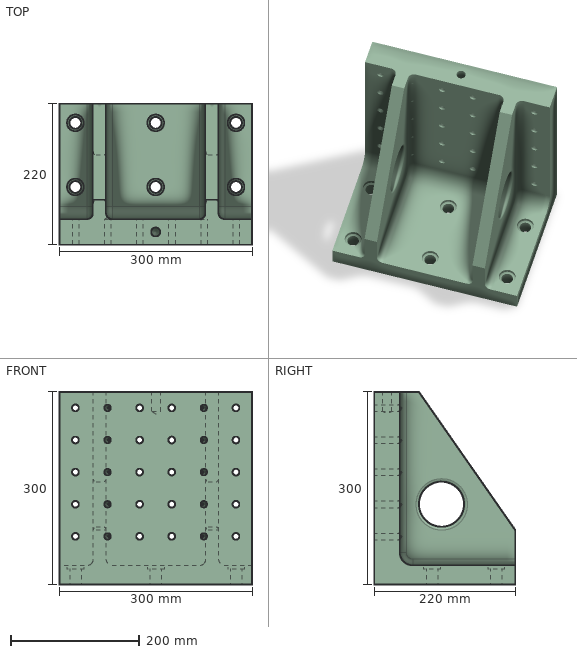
import cadquery as cq
import math

WIDTH = 300
DEPTH = 220.0
HEIGHT = 300
PLATE_THICKNESS = 40.0
BASE_THICKNESS = 30

RIB_THICKNESS = 20.0
RIB_OFFSET = 87.5
RIB_TOP_DEPTH = 70.0
RIB_BACK_HEIGHT = 85.0
CORNER_RADIUS = 20.0
RIB_FILLET = 10.0

WINDOW_DIAMETER = 70.0
WINDOW_Y = 105
WINDOW_Z = 125.0
WINDOW_ROUNDING = 5.0

GRID_DIAMETER = 10.2
GRID_COLUMNS = 6
GRID_ROWS = 5
GRID_PITCH = WIDTH / GRID_COLUMNS
GRID_TOP_MARGIN = GRID_PITCH / 2
DRILL_POINT_ANGLE = 120

MOUNT_DIAMETER = 18
COUNTERBORE_DIAMETER = 26.0
COUNTERBORE_DEPTH = 5.0
MOUNT_SPACING_X = 125.0
MOUNT_ROWS_Y = (90, 190.0)

LIFT_DIAMETER = 14.0
LIFT_DEPTH = 30


def drill(diameter, depth, start, direction):
    """Blind drilled hole with a conical bottom below its full-diameter depth."""
    radius = diameter / 2
    point_depth = radius / math.tan(math.radians(DRILL_POINT_ANGLE / 2))
    shank = cq.Solid.makeCylinder(radius, depth, start, direction)
    point = cq.Solid.makeCone(radius, 0, point_depth, start + direction * depth, direction)
    return shank.fuse(point)


def pocket(x_min, x_max, rib_edges):
    """Space above the foot and behind the plate, rounded beside each rib."""
    cutter = (
        cq.Workplane("XY")
        .box(x_max - x_min, DEPTH, HEIGHT, centered=False)
        .translate((x_min, PLATE_THICKNESS, BASE_THICKNESS))
        .edges("|X and <Y and <Z")
        .fillet(CORNER_RADIUS)
    )
    for side in rib_edges:
        floor_y = PLATE_THICKNESS + DEPTH / 2
        rib_x = x_min if side == "<X" else x_max
        floor_edge = cq.selectors.NearestToPointSelector((rib_x, floor_y, BASE_THICKNESS))
        cutter = cutter.faces(side).edges(floor_edge).fillet(RIB_FILLET)
    return cutter


def make_body():
    profile = [
        (0, 0),
        (DEPTH, 0),
        (DEPTH, RIB_BACK_HEIGHT),
        (RIB_TOP_DEPTH, HEIGHT),
        (0, HEIGHT),
    ]
    body = cq.Workplane("YZ").polyline(profile).close().extrude(WIDTH / 2, both=True)
    rib_inner = RIB_OFFSET - RIB_THICKNESS / 2
    rib_outer = RIB_OFFSET + RIB_THICKNESS / 2
    body = body.cut(pocket(-WIDTH / 2, -rib_outer, [">X"]))
    body = body.cut(pocket(-rib_inner, rib_inner, ["<X", ">X"]))
    return body.cut(pocket(rib_outer, WIDTH / 2, ["<X"]))


def cut_windows(body):
    window = (
        cq.Workplane("YZ")
        .center(WINDOW_Y, WINDOW_Z)
        .circle(WINDOW_DIAMETER / 2)
        .extrude(WIDTH / 2, both=True)
    )
    body = body.cut(window)
    rim_reach = WINDOW_DIAMETER / 2 + WINDOW_ROUNDING
    rims = cq.selectors.BoxSelector(
        (-WIDTH / 2, WINDOW_Y - rim_reach, WINDOW_Z - rim_reach),
        (WIDTH / 2, WINDOW_Y + rim_reach, WINDOW_Z + rim_reach),
        boundingbox=True,
    )
    return body.edges("%CIRCLE").edges(rims).fillet(WINDOW_ROUNDING)


def cut_grid_holes(body):
    for column in range(GRID_COLUMNS):
        x = (column - (GRID_COLUMNS - 1) / 2) * GRID_PITCH
        for row in range(GRID_ROWS):
            z = HEIGHT - GRID_TOP_MARGIN - row * GRID_PITCH
            start = cq.Vector(x, 0, z)
            body = body.cut(drill(GRID_DIAMETER, PLATE_THICKNESS, start, cq.Vector(0, 1, 0)))
    return body


def cut_mounting_holes(body):
    places = [(column * MOUNT_SPACING_X, y) for column in (-1, 0, 1) for y in MOUNT_ROWS_Y]
    holes = cq.Workplane("XY").pushPoints(places).circle(MOUNT_DIAMETER / 2).extrude(BASE_THICKNESS)
    counterbores = (
        cq.Workplane("XY")
        .workplane(offset=BASE_THICKNESS - COUNTERBORE_DEPTH)
        .pushPoints(places)
        .circle(COUNTERBORE_DIAMETER / 2)
        .extrude(COUNTERBORE_DEPTH)
    )
    return body.cut(holes).cut(counterbores)


def cut_lifting_hole(body):
    start = cq.Vector(0, PLATE_THICKNESS / 2, HEIGHT)
    return body.cut(drill(LIFT_DIAMETER, LIFT_DEPTH, start, cq.Vector(0, 0, -1)))


bracket = make_body()
bracket = cut_windows(bracket)
bracket = cut_grid_holes(bracket)
bracket = cut_mounting_holes(bracket)
result = cut_lifting_hole(bracket)